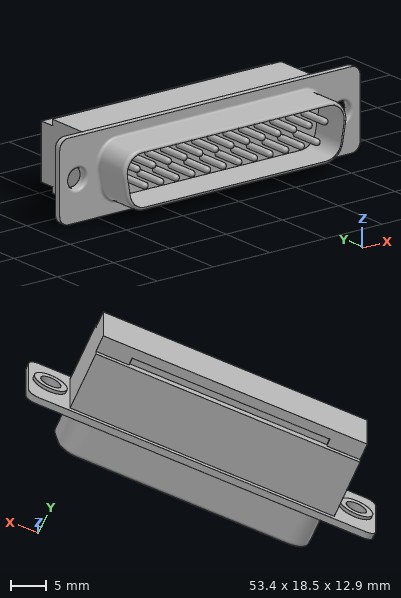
import cadquery as cq
import math


flange_width = 53.4
flange_height = 12.95
flange_thickness = 1.0
flange_corner_radius = 1.55

housing_width = 40.65
housing_height = 11.05
housing_length = 11.55
step_height = 9.15
step_length = 2.55
recess_width = 30.4
recess_length = 1.1
recess_depth = 0.55

shell_height = 9.25
shell_length = 5.95
shell_wall = 0.55
shell_corner_radius = 3.2
shell_top_center_x = 16.6
side_angle = 10.0
base_fillet = 0.5
rim_fillet = 0.51

top_row_count = 13
bottom_row_count = top_row_count - 1
pin_pitch = 2.8
row_spacing = 2.8
pin_diameter = 1.0
pin_length = 5.25

eyelet_spacing = 47.0
eyelet_diameter = 5.1
eyelet_height = 0.5
eyelet_hole_diameter = 3.1
eyelet_mouth_fillet = 0.51

housing_back = flange_thickness + housing_length
corner_center_z = shell_height / 2 - shell_corner_radius
shell_bottom_center_x = shell_top_center_x - 2 * corner_center_z * math.tan(math.radians(side_angle))


def block(width, height, y_front, y_back):
    """Box centred on X and Z, spanning y_front to y_back."""
    length = y_back - y_front
    return cq.Workplane("XY").box(width, length, height).translate((0, y_front + length / 2, 0))


def rod(x, z, diameter, y_front, y_back):
    """Cylinder along Y."""
    plane = cq.Workplane("XZ", origin=(x, y_front, z))
    return plane.circle(diameter / 2).extrude(y_front - y_back)


def front_face_edges(center_x, width, height):
    """Selector for edges in the flange front face centred inside a rectangle around (center_x, 0)."""
    margin = 0.05
    half_width = width / 2 + margin
    half_height = height / 2 + margin
    return cq.selectors.BoxSelector(
        (center_x - half_width, -margin, -half_height),
        (center_x + half_width, margin, half_height),
    )


def d_prism(corner_radius, length):
    """D outline around four fixed corner centres, running from Y = 0 toward -Y."""

    def on_corner(center_x, center_z, degrees):
        angle = math.radians(degrees)
        x = center_x + corner_radius * math.cos(angle)
        return (x, center_z + corner_radius * math.sin(angle))

    def top_corner(degrees):
        return on_corner(shell_top_center_x, corner_center_z, degrees)

    def bottom_corner(degrees):
        return on_corner(shell_bottom_center_x, -corner_center_z, degrees)

    def mirrored(point):
        return (-point[0], point[1])

    top_end = top_corner(90)
    top_middle = top_corner(45)
    side_top = top_corner(-side_angle)
    side_bottom = bottom_corner(-side_angle)
    bottom_middle = bottom_corner(-45)
    bottom_end = bottom_corner(-90)
    return (
        cq.Workplane("XZ")
        .moveTo(*mirrored(top_end))
        .lineTo(*top_end)
        .threePointArc(top_middle, side_top)
        .lineTo(*side_bottom)
        .threePointArc(bottom_middle, bottom_end)
        .lineTo(*mirrored(bottom_end))
        .threePointArc(mirrored(bottom_middle), mirrored(side_bottom))
        .lineTo(*mirrored(side_top))
        .threePointArc(mirrored(top_middle), mirrored(top_end))
        .close()
        .extrude(length)
    )


def make_flange_and_shell():
    flange = block(flange_width, flange_height, 0, flange_thickness).edges("|Y").fillet(flange_corner_radius)
    shell = d_prism(shell_corner_radius, shell_length).faces("<Y").edges().fillet(rim_fillet)
    body = flange.union(shell)
    shell_foot = front_face_edges(0, 2 * (shell_top_center_x + shell_corner_radius), shell_height)
    body = body.edges(shell_foot).fillet(base_fillet)
    return body.cut(d_prism(shell_corner_radius - shell_wall, shell_length))


def make_housing():
    step_front = housing_back - step_length
    housing = block(housing_width, housing_height, flange_thickness, step_front)
    housing = housing.union(block(housing_width, step_height, step_front, housing_back))
    recess = block(recess_width, recess_depth, step_front, step_front + recess_length)
    recess_z = (step_height - recess_depth) / 2
    for side in (-1, 1):
        housing = housing.cut(recess.translate((0, 0, side * recess_z)))
    return housing


def add_eyelet(body, x):
    body = body.union(rod(x, 0, eyelet_diameter, flange_thickness, flange_thickness + eyelet_height))
    hole = rod(x, 0, eyelet_hole_diameter, 0, flange_thickness + eyelet_height)
    body = body.cut(hole)
    mouth = front_face_edges(x, eyelet_diameter, eyelet_diameter)
    return body.edges(mouth).fillet(eyelet_mouth_fillet)


def make_pin(x, z):
    """Round pin with a hemispherical tip."""
    tip_radius = pin_diameter / 2
    tip_center_y = tip_radius - pin_length
    tip = cq.Workplane("XY").sphere(tip_radius).translate((x, tip_center_y, z))
    return rod(x, z, pin_diameter, tip_center_y, flange_thickness).union(tip)


def add_pin_row(body, count, z):
    for index in range(count):
        x = (index - (count - 1) / 2) * pin_pitch
        body = body.union(make_pin(x, z))
    return body


result = make_flange_and_shell().union(make_housing())
for side in (-1, 1):
    result = add_eyelet(result, side * eyelet_spacing / 2)
result = add_pin_row(result, top_row_count, row_spacing / 2)
result = add_pin_row(result, bottom_row_count, -row_spacing / 2)